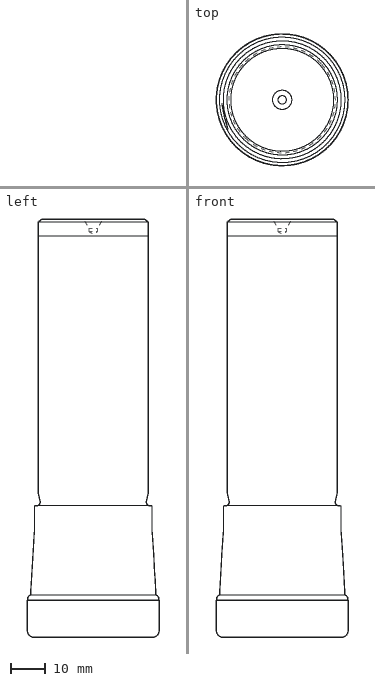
import cadquery as cq
import math

TOTAL_HEIGHT = 120.6
CAP_HEIGHT = 4.8
JOINT_Z = TOTAL_HEIGHT - CAP_HEIGHT

HEAD_RADIUS = 19.1
HEAD_BOTTOM_FILLET = 2.0
HEAD_TOP_Z = 10.6
BEVEL_WIDTH = 0.1
BEVEL_HEIGHT = 0.2
SHOULDER_Z = 12.3

TAPER_RADIUS = 18.1
TAPER_BOTTOM_Z = 14.0
TAPER_TOP_Z = 29.8
TAPER_BULGE = 0.06
BLEND_WIDTH = 0.07
LOWER_BLEND_HEIGHT = 0.2
UPPER_BLEND_HEIGHT = 0.7

COLLAR_RADIUS = 17.0
COLLAR_TOP_Z = 38.0
COLLAR_FILLET = 0.4

SHANK_RADIUS = 15.9
GROOVE_RADIUS = 15.3
GROOVE_TOP_Z = 41.7
GROOVE_FILLET = 1.1

CAP_CHAMFER_WIDTH = 1.1
CAP_CHAMFER_HEIGHT = 0.8
COUNTERSINK_RADIUS = 2.8
COUNTERSINK_ANGLE = 60.0
PILOT_RADIUS = 1.2
PILOT_DEPTH = 3.6
DRILL_POINT_ANGLE = 118.0


def cone_height(radius_change, included_angle):
    """Height over which a cone changes its radius by the given amount."""
    return radius_change / math.tan(math.radians(included_angle / 2))


def revolve_about_z(profile):
    """Full revolution of a closed (radius, Z) profile drawn on the XZ plane."""
    return profile.revolve(360, (0, 0, 0), (0, 1, 0))


def make_holder():
    """Head, taper, collar, groove and shank up to the cap joint."""
    diagonal = math.sqrt(0.5)
    head_rim_radius = HEAD_RADIUS - BEVEL_WIDTH
    head_rim_z = HEAD_TOP_Z + BEVEL_HEIGHT
    shoulder_mid = (
        TAPER_RADIUS + (head_rim_radius - TAPER_RADIUS) * diagonal,
        head_rim_z + (SHOULDER_Z - head_rim_z) * diagonal,
    )
    taper_bottom_radius = TAPER_RADIUS - BLEND_WIDTH
    taper_top_radius = COLLAR_RADIUS + BLEND_WIDTH
    taper_mid = (
        (taper_bottom_radius + taper_top_radius) / 2 + TAPER_BULGE,
        (TAPER_BOTTOM_Z + TAPER_TOP_Z) / 2,
    )
    collar_mid = (
        COLLAR_RADIUS - COLLAR_FILLET * (1 - diagonal),
        COLLAR_TOP_Z - COLLAR_FILLET * (1 - diagonal),
    )
    groove_bottom_z = COLLAR_TOP_Z + GROOVE_FILLET
    groove_mid = (
        GROOVE_RADIUS + GROOVE_FILLET * (1 - diagonal),
        COLLAR_TOP_Z + GROOVE_FILLET * (1 - diagonal),
    )
    fillet_mid = (
        HEAD_RADIUS - HEAD_BOTTOM_FILLET * (1 - diagonal),
        HEAD_BOTTOM_FILLET * (1 - diagonal),
    )
    profile = (
        cq.Workplane("XZ")
        .lineTo(HEAD_RADIUS - HEAD_BOTTOM_FILLET, 0)
        .threePointArc(fillet_mid, (HEAD_RADIUS, HEAD_BOTTOM_FILLET))
        .lineTo(HEAD_RADIUS, HEAD_TOP_Z)
        .lineTo(head_rim_radius, head_rim_z)
        .threePointArc(shoulder_mid, (TAPER_RADIUS, SHOULDER_Z))
        .lineTo(TAPER_RADIUS, TAPER_BOTTOM_Z - LOWER_BLEND_HEIGHT)
        .lineTo(taper_bottom_radius, TAPER_BOTTOM_Z)
        .threePointArc(taper_mid, (taper_top_radius, TAPER_TOP_Z))
        .lineTo(COLLAR_RADIUS, TAPER_TOP_Z + UPPER_BLEND_HEIGHT)
        .lineTo(COLLAR_RADIUS, COLLAR_TOP_Z - COLLAR_FILLET)
        .threePointArc(collar_mid, (COLLAR_RADIUS - COLLAR_FILLET, COLLAR_TOP_Z))
        .lineTo(GROOVE_RADIUS + GROOVE_FILLET, COLLAR_TOP_Z)
        .threePointArc(groove_mid, (GROOVE_RADIUS, groove_bottom_z))
        .lineTo(SHANK_RADIUS, GROOVE_TOP_Z)
        .lineTo(SHANK_RADIUS, JOINT_Z)
        .lineTo(0, JOINT_Z)
        .close()
    )
    return revolve_about_z(profile)


def make_cap():
    """Chamfered end disc with a blind, countersunk centre hole."""
    countersink_z = TOTAL_HEIGHT - cone_height(COUNTERSINK_RADIUS - PILOT_RADIUS, COUNTERSINK_ANGLE)
    pilot_bottom_z = TOTAL_HEIGHT - PILOT_DEPTH
    drill_tip_z = pilot_bottom_z - cone_height(PILOT_RADIUS, DRILL_POINT_ANGLE)
    profile = (
        cq.Workplane("XZ")
        .moveTo(0, JOINT_Z)
        .lineTo(SHANK_RADIUS, JOINT_Z)
        .lineTo(SHANK_RADIUS, TOTAL_HEIGHT - CAP_CHAMFER_HEIGHT)
        .lineTo(SHANK_RADIUS - CAP_CHAMFER_WIDTH, TOTAL_HEIGHT)
        .lineTo(COUNTERSINK_RADIUS, TOTAL_HEIGHT)
        .lineTo(PILOT_RADIUS, countersink_z)
        .lineTo(PILOT_RADIUS, pilot_bottom_z)
        .lineTo(0, drill_tip_z)
        .close()
    )
    return revolve_about_z(profile)


holder = make_holder()
cap = make_cap()

result = cq.Compound.makeCompound([holder.val(), cap.val()])